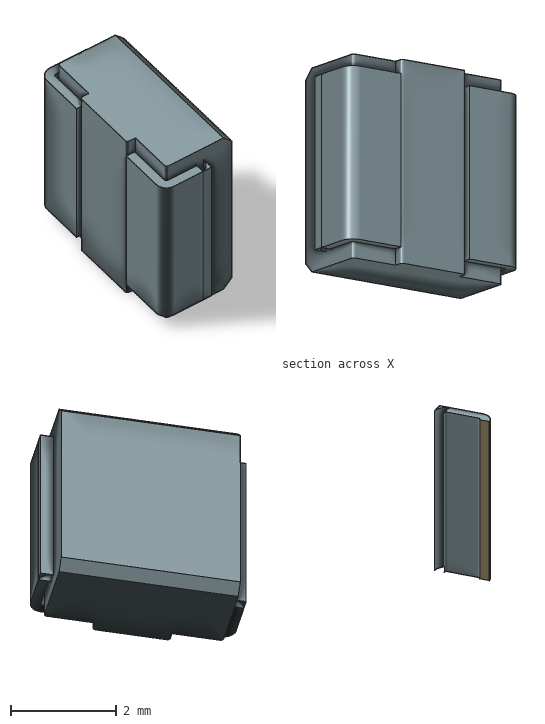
import cadquery as cq
import math

overall_width = 4.0
overall_depth = 1.8
overall_height = 4.0

lead_thickness = 0.2
foot_gap = 0.05
side_gap = 0.06
standoff = 0.05
body_half_width = overall_width / 2 - lead_thickness - side_gap
shoulder_y = lead_thickness + foot_gap
pad_half_width = 0.75
body_edge_radius = 0.06
body_chamfer = 0.2

lead_height = 3.4
lead_outer_x = overall_width / 2
lead_inner_x = lead_outer_x - lead_thickness
foot_end_x = pad_half_width + foot_gap
lead_top_y = 1.13
arm_end_y = lead_top_y - lead_thickness
bend_inner_radius = 0.05
bend_outer_radius = bend_inner_radius + lead_thickness
corner_web = 0.005
slot_radius = bend_outer_radius - corner_web
bend_center_x = lead_outer_x - bend_outer_radius
lower_bend_y = bend_outer_radius
upper_bend_y = lead_top_y - bend_outer_radius


def bend_point(center_y, radius, angle):
    """Point on a bend arc, with the angle in degrees measured from +X."""
    turn = math.radians(angle)
    return (bend_center_x + radius * math.cos(turn), center_y + radius * math.sin(turn))


def make_body():
    """Block with a raised centre pad towards -Y and chamfered back edges."""
    block_depth = overall_depth - shoulder_y
    block = (
        cq.Workplane("XY")
        .box(2 * body_half_width, block_depth, overall_height, centered=(True, False, True))
        .translate((0, shoulder_y, 0))
        .edges("|Z and <Y")
        .fillet(body_edge_radius)
        .edges("|X and >Y")
        .chamfer(body_chamfer)
    )
    pad_depth = overall_depth - body_chamfer - standoff
    pad = (
        cq.Workplane("XY")
        .box(2 * pad_half_width, pad_depth, overall_height, centered=(True, False, True))
        .translate((0, standoff, 0))
        .edges("|Z and <Y")
        .fillet(body_edge_radius)
    )
    return block.union(pad)


def make_lead():
    """L-shaped lead on the +X side, with a slot between its arm and its square upper corner.

    The arm starts to bend inwards just below its end. The slot follows the same bend,
    slightly inside it, so a thin web joins the corner to the arm.
    """
    arm_end_rise = arm_end_y - upper_bend_y
    arm_end_angle = math.degrees(math.asin(arm_end_rise / bend_outer_radius))
    arm_end_outer = bend_point(upper_bend_y, bend_outer_radius, arm_end_angle)
    slot_angle = math.degrees(math.asin(arm_end_rise / slot_radius))
    return (
        cq.Workplane("XY")
        .workplane(offset=-lead_height / 2)
        .moveTo(foot_end_x, 0)
        .lineTo(bend_center_x, 0)
        .threePointArc(bend_point(lower_bend_y, bend_outer_radius, -45), (lead_outer_x, lower_bend_y))
        .lineTo(lead_outer_x, upper_bend_y)
        .threePointArc(bend_point(upper_bend_y, bend_outer_radius, arm_end_angle / 2), arm_end_outer)
        .lineTo(lead_outer_x, arm_end_y)
        .lineTo(lead_outer_x, lead_top_y)
        .lineTo(bend_center_x, lead_top_y)
        .lineTo(bend_center_x, upper_bend_y + slot_radius)
        .threePointArc(
            bend_point(upper_bend_y, slot_radius, (90 + slot_angle) / 2),
            bend_point(upper_bend_y, slot_radius, slot_angle),
        )
        .lineTo(bend_center_x, arm_end_y)
        .threePointArc(bend_point(upper_bend_y, bend_inner_radius, 45), (lead_inner_x, upper_bend_y))
        .lineTo(lead_inner_x, lower_bend_y)
        .threePointArc(bend_point(lower_bend_y, bend_inner_radius, -45), (bend_center_x, lead_thickness))
        .lineTo(foot_end_x, lead_thickness)
        .close()
        .extrude(lead_height)
    )


body = make_body()
right_lead = make_lead()
left_lead = right_lead.mirror("YZ")

result = cq.Compound.makeCompound([body.val(), right_lead.val(), left_lead.val()])